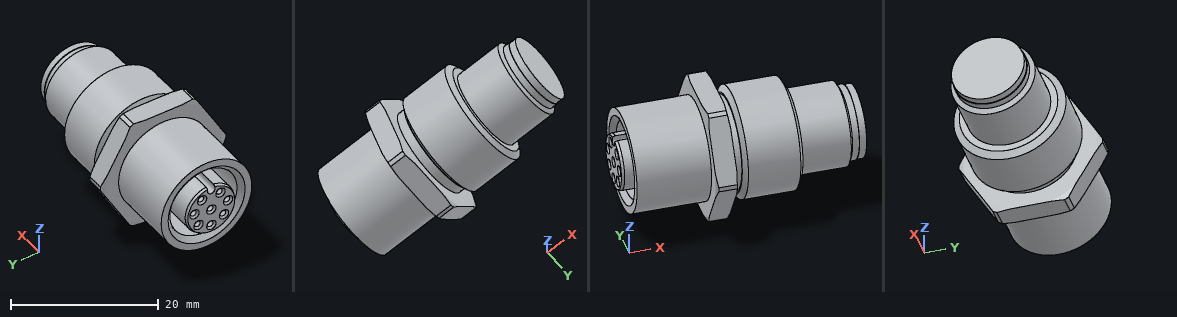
import cadquery as cq
import math

TOTAL_LENGTH = 34.3
SLEEVE_START = 1.15
HEX_START = 11.7
HEX_WIDTH = 3.02
COLLAR_START = 16.15
COLLAR_END = 24.73
COLLAR_CHAMFER_LENGTH = 0.6
PLUG_STEP = 31.85
PLUG_TAPER_LENGTH = 0.38
TIP_START = 33.25

SLEEVE_DIAMETER = 14.75
NECK_DIAMETER = 13.5
COLLAR_DIAMETER = 16.0
COLLAR_FACE_DIAMETER = 14.0
PLUG_DIAMETER = 12.0
PLUG_RIM_DIAMETER = 10.6
TIP_DIAMETER = 10.4

HEX_ACROSS_FLATS = 18.0
HEX_TURNED_DIAMETER = 20.4
HEX_FACE_DIAMETER = 18.95
HEX_CHAMFER_LENGTH = 0.2

BORE_DIAMETER = 10.9
BORE_MOUTH_DIAMETER = 12.5
BORE_CHAMFER_LENGTH = (BORE_MOUTH_DIAMETER - BORE_DIAMETER) / 2
BORE_DEPTH = 8.58
BORE_FLOOR = SLEEVE_START + BORE_DEPTH
INSERT_DIAMETER = 7.95
INSERT_CHAMFER_LENGTH = 0.4
INSERT_CHAMFER_HEIGHT = 0.17

KEYWAY_WIDTH = 1.15
KEYWAY_FLOOR_HEIGHT = 2.8
KEYWAY_LENGTH = 6.85

CONTACT_DIAMETER = 0.93
CONTACT_MOUTH_DIAMETER = 1.5
CONTACT_DEPTH = 4.1
CONTACT_CIRCLE_RADIUS = 2.75
CONTACT_PITCH_ANGLE = 49.0
CONTACTS_EACH_SIDE = 3


def turned(profile):
    """Revolve a closed outline of (x, radius) points about the X axis."""
    return cq.Workplane("XY").polyline(profile).close().revolve(360, (0, 0, 0), (1, 0, 0))


def make_body():
    """Turned sleeve, neck, chamfered collar and stepped plug end, without the flange."""
    return turned([
        (SLEEVE_START, 0),
        (SLEEVE_START, SLEEVE_DIAMETER / 2),
        (HEX_START, SLEEVE_DIAMETER / 2),
        (HEX_START, NECK_DIAMETER / 2),
        (COLLAR_START, NECK_DIAMETER / 2),
        (COLLAR_START, COLLAR_FACE_DIAMETER / 2),
        (COLLAR_START + COLLAR_CHAMFER_LENGTH, COLLAR_DIAMETER / 2),
        (COLLAR_END - COLLAR_CHAMFER_LENGTH, COLLAR_DIAMETER / 2),
        (COLLAR_END, COLLAR_FACE_DIAMETER / 2),
        (COLLAR_END, PLUG_DIAMETER / 2),
        (PLUG_STEP, PLUG_DIAMETER / 2),
        (PLUG_STEP + PLUG_TAPER_LENGTH, PLUG_RIM_DIAMETER / 2),
        (TIP_START, PLUG_RIM_DIAMETER / 2),
        (TIP_START, TIP_DIAMETER / 2),
        (TOTAL_LENGTH, TIP_DIAMETER / 2),
        (TOTAL_LENGTH, 0),
    ])


def make_flange():
    """Hexagon with corners on the Y axis, its corners turned down and chamfered."""
    across_corners = HEX_ACROSS_FLATS / math.cos(math.radians(30))
    hexagon = cq.Workplane("YZ", origin=(HEX_START, 0, 0)).polygon(6, across_corners).extrude(HEX_WIDTH)
    hex_end = HEX_START + HEX_WIDTH
    envelope = turned([
        (HEX_START, 0),
        (HEX_START, HEX_FACE_DIAMETER / 2),
        (HEX_START + HEX_CHAMFER_LENGTH, HEX_TURNED_DIAMETER / 2),
        (hex_end - HEX_CHAMFER_LENGTH, HEX_TURNED_DIAMETER / 2),
        (hex_end, HEX_FACE_DIAMETER / 2),
        (hex_end, 0),
    ])
    return hexagon.intersect(envelope)


def make_bore():
    """Blind socket bore with a conical mouth."""
    return turned([
        (SLEEVE_START, 0),
        (SLEEVE_START, BORE_MOUTH_DIAMETER / 2),
        (SLEEVE_START + BORE_CHAMFER_LENGTH, BORE_DIAMETER / 2),
        (BORE_FLOOR, BORE_DIAMETER / 2),
        (BORE_FLOOR, 0),
    ])


def make_keyway():
    """Round-bottomed groove, open at the top, ending short of the bore floor."""
    groove_radius = KEYWAY_WIDTH / 2
    axis_height = KEYWAY_FLOOR_HEIGHT + groove_radius
    return (
        cq.Workplane("YZ")
        .moveTo(-groove_radius, INSERT_DIAMETER / 2)
        .lineTo(-groove_radius, axis_height)
        .threePointArc((0, KEYWAY_FLOOR_HEIGHT), (groove_radius, axis_height))
        .lineTo(groove_radius, INSERT_DIAMETER / 2)
        .close()
        .extrude(KEYWAY_LENGTH)
    )


def make_contact_holes():
    """Countersunk blind holes for the eight contacts."""
    centres = [(0, 0)]
    for step in range(-CONTACTS_EACH_SIDE, CONTACTS_EACH_SIDE + 1):
        angle = math.radians(step * CONTACT_PITCH_ANGLE)
        centres.append((CONTACT_CIRCLE_RADIUS * math.sin(angle), -CONTACT_CIRCLE_RADIUS * math.cos(angle)))

    countersink_depth = (CONTACT_MOUTH_DIAMETER - CONTACT_DIAMETER) / 2
    hole = turned([
        (0, 0),
        (0, CONTACT_MOUTH_DIAMETER / 2),
        (countersink_depth, CONTACT_DIAMETER / 2),
        (CONTACT_DEPTH, CONTACT_DIAMETER / 2),
        (CONTACT_DEPTH, 0),
    ])
    holes = cq.Workplane("YZ")
    for y, z in centres:
        holes = holes.add(hole.translate((0, y, z)))
    return holes.combine()


def make_insert():
    """Chamfered socket insert with its keyway and contact holes."""
    insert = turned([
        (0, 0),
        (0, INSERT_DIAMETER / 2 - INSERT_CHAMFER_HEIGHT),
        (INSERT_CHAMFER_LENGTH, INSERT_DIAMETER / 2),
        (BORE_FLOOR, INSERT_DIAMETER / 2),
        (BORE_FLOOR, 0),
    ])
    return insert.cut(make_keyway()).cut(make_contact_holes())


shell = make_body().union(make_flange()).cut(make_bore())
result = shell.union(make_insert())